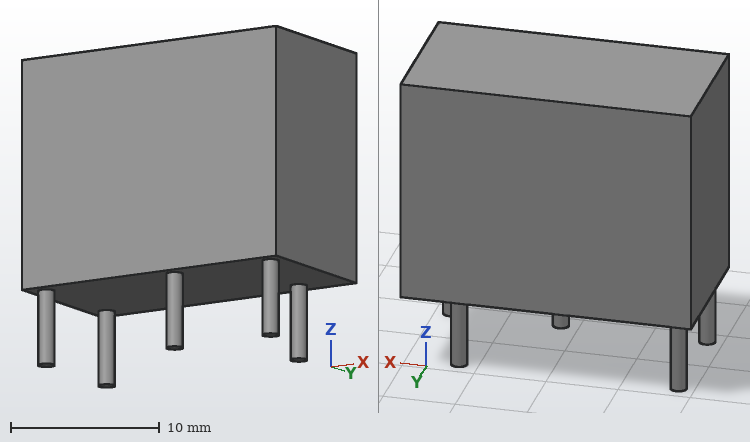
import cadquery as cq

housing_length = 20.15
housing_width = 10.15
total_height = 20.9
pin_length = 5.1
housing_height = total_height - pin_length

pin_diameter = 1.1
grid_pitch = 2.54
first_pin_x = -8.88
front_row_y = -3.89
pin_grid_places = [(0, 0), (4, 0), (7, 0), (0, 3), (6, 3)]


def make_housing():
    """Plain block whose underside lies on Z = 0."""
    return cq.Workplane("XY").box(
        housing_length, housing_width, housing_height, centered=(True, True, False)
    )


def make_pin(column, row):
    """Round pin hanging from the underside of the housing."""
    x = first_pin_x + column * grid_pitch
    y = front_row_y + row * grid_pitch
    return cq.Workplane("XY").center(x, y).circle(pin_diameter / 2).extrude(-pin_length)


housing = make_housing()
pins = [make_pin(column, row) for column, row in pin_grid_places]

result = cq.Compound.makeCompound([housing.val(), *[pin.val() for pin in pins]])